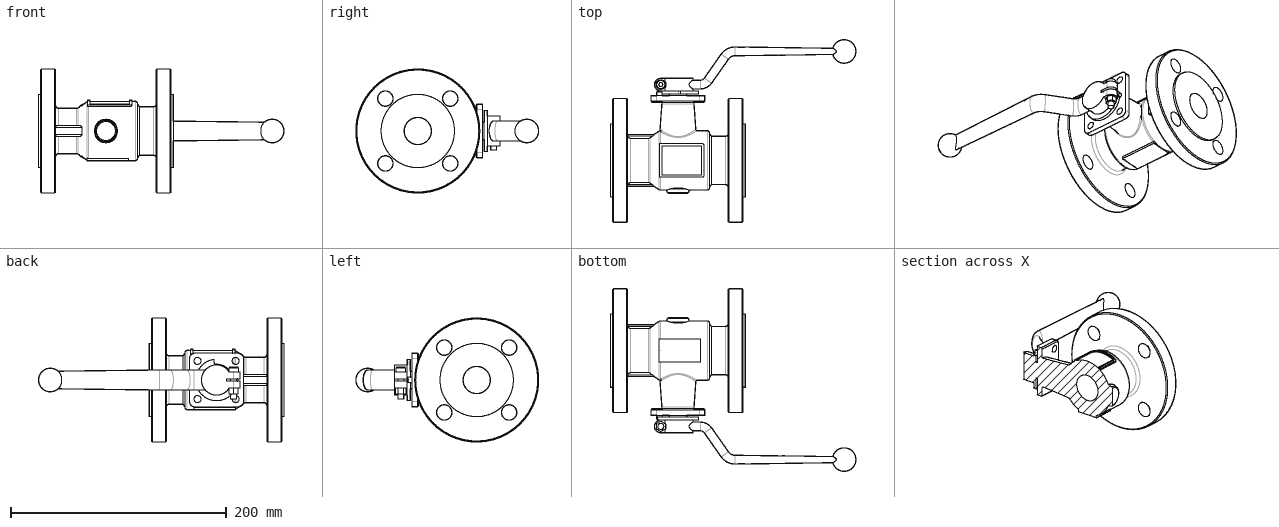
import cadquery as cq
import math


flange_radius = 57.5
flange_chamfer = 1.0
raised_face_radius = 34.0
face_to_face = 125.0
raised_face_height = 2.0
flange_thickness = 14.0
right_end = face_to_face / 2
left_end = -right_end
right_face = right_end - raised_face_height
left_face = -right_face
right_flange_back = right_face - flange_thickness
left_flange_back = -right_flange_back
bolt_circle_radius = 42.5
bolt_hole_radius = 7.0
bolt_count = 4

bore_radius = 12.5
left_neck_radius = 21.1
right_neck_radius = 22.5
neck_fillet = 2.6
body_radius = 27.6
left_neck_end = -26.5
body_start = -17.0
cone_fillet = 2.4
body_end = 29.4
body_end_round = 2.2
right_neck_start = 31.0
shoulder_radius = 25.0

frame_height = 1.0
frame_width = 2.0
frame_corner = 1.2
frame_x = (-16.9, 24.0)
frame_half_depth = 15.5
pad_x = (-17.4, 21.0)
pad_half_depth = 10.8
pad_root_z = -20.0

boss_base_radius = 10.9
boss_rim_radius = 9.9
boss_face_radius = 8.8
boss_root_y = -20.0
boss_shoulder_y = -26.6
boss_rim_y = -29.6
boss_face_y = -30.4

rib_end = -22.2
rib_reach = 24.1
rib_root = 15.0
rib_bevel = 1.6
rib_base_half_width = 5.0
rib_top_half_width = rib_base_half_width - rib_bevel

tower_root_y = 15.0
tower_base_radius = 17.3
tower_base_y = 20.0
tower_fillet = 1.2
tower_top_radius = 15.0
tower_top_y = 52.4
plate_size = 50.0
plate_bottom_y = 53.7
plate_top_y = 60.0
plate_corner = 5.0
plate_chamfer = 1.2
plate_hole_radius = 3.25
plate_hole_circle_radius = 25.0

stem_radius = 8.2
stop_bottom_y = 61.4
stop_radius = 19.2
stop_recess_radius = 14.7
stop_edge = 2.4
stop_fillet = 2.0
pin_radius = 2.6
pin_offset = 17.2
pin_top_y = 63.5

clamp_radius = 14.0
clamp_bottom_y = 64.4
clamp_top_y = 76.2
clamp_mid_y = (clamp_bottom_y + clamp_top_y) / 2
lug_radius = (clamp_top_y - clamp_bottom_y) / 2
lug_x = -15.9
lug_half_height = 7.6
clamp_slot_width = 2.2
clamp_slot_end = -9.0
screw_head_radius = 4.4
screw_head_top = 11.9
screw_head_chamfer = 0.6
head_clearance_radius = 5.0
socket_radius = 2.0
socket_depth = 2.5
nut_across_corners = 9.6
nut_bottom = -12.8
nut_turn = 30.0
screw_radius = 2.8
screw_end = -17.7

lever_width = 18.8
lever_thickness = 8.4
lever_tip_width = 16.4
lever_tip_thickness = 5.8
lever_start_x = 4.0
lever_low_y = clamp_mid_y
lever_high_y = 101.1
lever_slope = math.radians(55)
lower_bend_x = 25.3
lower_bend_radius = 8.5
upper_bend_radius = 11.7
ball_radius = 11.0
ball_x = 154.0
ball_y = 101.0


def along_x(radius, start, end):
    """Cylinder on the pipe axis."""
    return cq.Workplane("YZ").workplane(offset=start).circle(radius).extrude(end - start)


def along_y(radius, start, end, x=0.0, z=0.0):
    """Cylinder parallel to the stem axis."""
    return cq.Workplane("XZ", origin=(x, start, z)).circle(radius).extrude(start - end)


def along_z(radius, start, end, x, y):
    """Cylinder parallel to Z."""
    return cq.Workplane("XY", origin=(x, y, start)).circle(radius).extrude(end - start)


def block(x_range, y_range, z_range):
    """Box given by its limits."""
    corner = (x_range[0], y_range[0], z_range[0])
    size = [high - low for low, high in (x_range, y_range, z_range)]
    return cq.Workplane("XY", origin=corner).box(*size, centered=False)


def near(point, reach=0.5):
    """Selector for what is centred close to a point."""
    low = [value - reach for value in point]
    high = [value + reach for value in point]
    return cq.selectors.BoxSelector(low, high)


def make_pipe():
    """Body, necks and both flanges as one turned solid."""
    arc = math.sqrt(0.5)
    profile = (
        cq.Workplane("XY")
        .moveTo(left_end, 0)
        .lineTo(left_end, raised_face_radius)
        .lineTo(left_face, raised_face_radius)
        .lineTo(left_face, flange_radius - flange_chamfer)
        .lineTo(left_face + flange_chamfer, flange_radius)
        .lineTo(left_flange_back - flange_chamfer, flange_radius)
        .lineTo(left_flange_back, flange_radius - flange_chamfer)
        .lineTo(left_flange_back, left_neck_radius + neck_fillet)
        .threePointArc(
            (left_flange_back + neck_fillet * (1 - arc), left_neck_radius + neck_fillet * (1 - arc)),
            (left_flange_back + neck_fillet, left_neck_radius),
        )
        .lineTo(left_neck_end, left_neck_radius)
        .lineTo(body_start, body_radius)
        .lineTo(body_end - body_end_round, body_radius)
        .threePointArc(
            (body_end - body_end_round * (1 - arc), body_radius - body_end_round * (1 - arc)),
            (body_end, body_radius - body_end_round),
        )
        .lineTo(body_end, shoulder_radius)
        .lineTo(right_neck_start, right_neck_radius)
        .lineTo(right_flange_back - neck_fillet, right_neck_radius)
        .threePointArc(
            (right_flange_back - neck_fillet * (1 - arc), right_neck_radius + neck_fillet * (1 - arc)),
            (right_flange_back, right_neck_radius + neck_fillet),
        )
        .lineTo(right_flange_back, flange_radius - flange_chamfer)
        .lineTo(right_flange_back + flange_chamfer, flange_radius)
        .lineTo(right_face - flange_chamfer, flange_radius)
        .lineTo(right_face, flange_radius - flange_chamfer)
        .lineTo(right_face, raised_face_radius)
        .lineTo(right_end, raised_face_radius)
        .lineTo(right_end, 0)
        .close()
    )
    pipe = profile.revolve(360, (0, 0, 0), (1, 0, 0))
    for x in (left_neck_end, body_start):
        pipe = pipe.edges(near((x, 0, 0))).fillet(cone_fillet)
    return pipe


def make_bolt_holes():
    """Four holes through both flanges, straddling the centre lines."""
    first_angle = 180 / bolt_count
    return (
        cq.Workplane("YZ")
        .workplane(offset=left_end)
        .polarArray(bolt_circle_radius, first_angle, 360, bolt_count)
        .circle(bolt_hole_radius)
        .extrude(right_end - left_end)
    )


def make_label_frame():
    """Low rectangular frame following the body's curve."""
    height = body_radius + frame_height
    outer = block(frame_x, (-frame_half_depth, frame_half_depth), (0, height))
    outer = outer.edges("|Z and >X").fillet(frame_corner)
    inner = block(
        (frame_x[0] + frame_width, frame_x[1] - frame_width),
        (frame_width - frame_half_depth, frame_half_depth - frame_width),
        (0, height),
    )
    return outer.cut(inner).intersect(along_x(height, *frame_x))


def make_pad():
    """Flat pad under the body, level with its lowest line."""
    return block(pad_x, (-pad_half_depth, pad_half_depth), (-body_radius, pad_root_z))


def make_boss():
    """Tapered round boss on the -Y side."""
    return (
        cq.Workplane("XY")
        .moveTo(0, boss_root_y)
        .lineTo(boss_base_radius, boss_root_y)
        .lineTo(boss_base_radius, boss_shoulder_y)
        .lineTo(boss_rim_radius, boss_rim_y)
        .lineTo(boss_face_radius, boss_face_y)
        .lineTo(0, boss_face_y)
        .close()
        .revolve(360, (0, 0, 0), (0, 1, 0))
    )


def make_rib(side):
    """Bevelled rib along the left neck; side is +1 or -1 along Y."""
    root = side * rib_root
    shoulder = side * (rib_reach - rib_bevel)
    top = side * rib_reach
    return (
        cq.Workplane("YZ")
        .workplane(offset=left_flange_back)
        .polyline([
            (root, -rib_base_half_width),
            (shoulder, -rib_base_half_width),
            (top, -rib_top_half_width),
            (top, rib_top_half_width),
            (shoulder, rib_base_half_width),
            (root, rib_base_half_width),
        ])
        .close()
        .extrude(rib_end - left_flange_back)
    )


def make_tower():
    """Tapered stem housing with a short straight collar below the plate."""
    return (
        cq.Workplane("XY")
        .moveTo(0, tower_root_y)
        .lineTo(tower_base_radius, tower_root_y)
        .lineTo(tower_base_radius, tower_base_y)
        .lineTo(tower_top_radius, tower_top_y)
        .lineTo(tower_top_radius, plate_bottom_y)
        .lineTo(0, plate_bottom_y)
        .close()
        .revolve(360, (0, 0, 0), (0, 1, 0))
    )


def make_tower_blend():
    """Fillet between the tower and the cylindrical part of the body."""
    cylinder = along_x(body_radius, -body_radius, body_radius)
    blend = cylinder.union(make_tower()).edges("%BSPLINE").fillet(tower_fillet)
    blend_y = (tower_base_y, body_radius + tower_fillet)
    reach = tower_base_radius + tower_fillet
    return blend.intersect(block((body_start + cone_fillet / 2, reach), blend_y, (-reach, reach)))


def make_plate():
    """Square mounting plate with rounded corners and four corner holes."""
    thickness = plate_top_y - plate_bottom_y
    hole_spacing = plate_hole_circle_radius * math.sqrt(2)
    return (
        cq.Workplane("XZ", origin=(0, plate_top_y, 0))
        .rect(plate_size, plate_size)
        .extrude(thickness)
        .edges("|Y")
        .fillet(plate_corner)
        .faces("<Y")
        .edges()
        .chamfer(plate_chamfer)
        .faces("<Y")
        .workplane(origin=(0, 0, 0))
        .rect(hole_spacing, hole_spacing, forConstruction=True)
        .vertices()
        .hole(2 * plate_hole_radius)
    )


def make_stop():
    """Stem, stop plate with a quarter-turn recess, and the pin standing in the recess."""
    plate = along_y(stop_radius, stop_bottom_y, clamp_bottom_y)
    height = (stop_bottom_y, clamp_bottom_y)
    recess = block((-stop_radius, stop_edge), height, (-stop_edge, stop_radius))
    recess = recess.cut(along_y(stop_recess_radius, *height))
    plate = plate.cut(recess)
    mid_y = (stop_bottom_y + clamp_bottom_y) / 2
    corner = math.sqrt(stop_recess_radius**2 - stop_edge**2)
    for x, z in ((stop_edge, corner), (-corner, -stop_edge)):
        plate = plate.edges(near((x, mid_y, z))).fillet(stop_fillet)
    pin = along_y(pin_radius, plate_bottom_y, pin_top_y, x=-pin_offset)
    stem = along_y(stem_radius, plate_bottom_y, clamp_top_y)
    return plate.union(stem).union(pin)


def make_clamp():
    """Round clamp with a split lug, closed by a screw and nut."""
    clamp = along_y(clamp_radius, clamp_bottom_y, clamp_top_y)
    clearance = along_z(head_clearance_radius, lug_half_height, clamp_radius, lug_x, clamp_mid_y)
    nut_clearance = along_z(head_clearance_radius, -clamp_radius, -lug_half_height, lug_x, clamp_mid_y)
    lug_z = (-lug_half_height, lug_half_height)
    lug = along_z(lug_radius, *lug_z, lug_x, clamp_mid_y)
    lug = lug.union(block((lug_x, 0), (clamp_bottom_y, clamp_top_y), lug_z))
    slot = block(
        (lug_x - lug_radius, clamp_slot_end),
        (clamp_bottom_y, clamp_top_y),
        (-clamp_slot_width / 2, clamp_slot_width / 2),
    )
    clamp = clamp.cut(clearance).cut(nut_clearance).union(lug).cut(slot)

    shank = along_z(screw_radius, screw_end, lug_half_height, lug_x, clamp_mid_y)
    head = along_z(screw_head_radius, lug_half_height, screw_head_top, lug_x, clamp_mid_y)
    head = head.faces(">Z").chamfer(screw_head_chamfer)
    socket = (
        cq.Workplane("XY", origin=(lug_x, clamp_mid_y, screw_head_top))
        .polygon(6, 2 * socket_radius)
        .extrude(-socket_depth)
    )
    nut = (
        cq.Workplane("XY", origin=(lug_x, clamp_mid_y, nut_bottom))
        .transformed(rotate=(0, 0, nut_turn))
        .polygon(6, nut_across_corners)
        .extrude(-lug_half_height - nut_bottom)
    )
    return clamp.union(shank).union(head.cut(socket)).union(nut)


def make_lever():
    """Flattened lever with two bends, tapering into a ball."""
    rise_x = math.cos(lever_slope)
    rise_y = math.sin(lever_slope)
    upper_bend_x = lower_bend_x + (lever_high_y - lever_low_y) / math.tan(lever_slope)
    lower_cut = lower_bend_radius * math.tan(lever_slope / 2)
    upper_cut = upper_bend_radius * math.tan(lever_slope / 2)
    upper_end_x = upper_bend_x + upper_cut

    path = (
        cq.Workplane("XY")
        .moveTo(lever_start_x, lever_low_y)
        .lineTo(lower_bend_x - lower_cut, lever_low_y)
        .tangentArcPoint(
            (lower_bend_x + lower_cut * rise_x, lever_low_y + lower_cut * rise_y), relative=False
        )
        .lineTo(upper_bend_x - upper_cut * rise_x, lever_high_y - upper_cut * rise_y)
        .tangentArcPoint((upper_end_x, lever_high_y), relative=False)
    )
    bent_part = (
        cq.Workplane("YZ", origin=(lever_start_x, lever_low_y, 0))
        .ellipse(lever_thickness / 2, lever_width / 2)
        .sweep(path)
    )
    grip = (
        cq.Workplane("YZ", origin=(upper_end_x, lever_high_y, 0))
        .ellipse(lever_thickness / 2, lever_width / 2)
        .workplane(offset=ball_x - upper_end_x)
        .center(ball_y - lever_high_y, 0)
        .ellipse(lever_tip_thickness / 2, lever_tip_width / 2)
        .loft()
    )
    ball = cq.Workplane("XY", origin=(ball_x, ball_y, 0)).sphere(ball_radius)
    return bent_part.union(grip).union(ball)


result = make_pipe().union(make_tower()).union(make_tower_blend())
result = result.union(make_label_frame()).union(make_pad()).union(make_boss())
for rib_side in (1, -1):
    result = result.union(make_rib(rib_side))
result = result.cut(along_x(bore_radius, left_end, right_end)).cut(make_bolt_holes())
result = result.union(make_plate()).union(make_stop()).union(make_clamp()).union(make_lever())